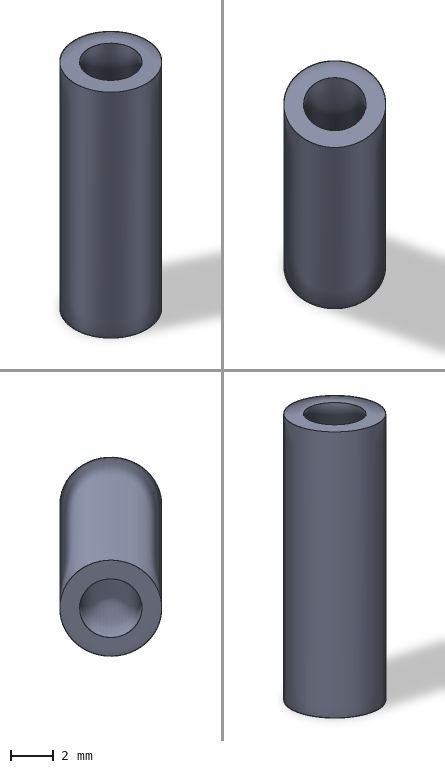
import cadquery as cq

length = 14.29
outer_diameter = 4.76
bore_diameter = 2.9

section = cq.Workplane("XY").circle(outer_diameter / 2).circle(bore_diameter / 2)
result = section.extrude(length)